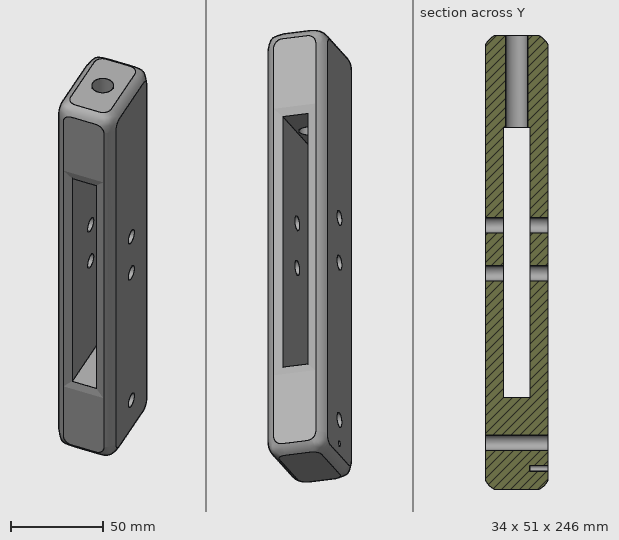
import cadquery as cq
import math

width = 34.0
depth = 51.0
height = 246.0

edge_width = 5.0
edge_inset = 2.1
corner_setback = 2 * edge_width
corner_inset = 3.0

window_length = 146.1
window_width = width - 4 * edge_width
lip_width = 4.7
lip_depth = 1.0

top_hole_diameter = 11.8
cross_hole_diameter = 8.0
cross_hole_heights = [25.3, 117.0, 143.2]
pin_hole_diameter = 3.0
pin_hole_height = 11.5
pin_hole_depth = 9.8

half_sizes = (width / 2, depth / 2, height / 2)
signs = (-1, 1)


def corner_point(corner, insets):
    """Point at the given X, Y, Z insets from a corner; `corner` holds the signs of its octant."""
    x, y, z = [sign * (half - inset) for sign, half, inset in zip(corner, half_sizes, insets)]
    return cq.Vector(x, y, z + height / 2)


def from_axis(axis, along, first, second):
    """X, Y, Z triple from a value on the axis, then on the next two axes in cyclic order."""
    triple = [0, 0, 0]
    triple[axis] = along
    triple[(axis + 1) % 3] = first
    triple[(axis + 2) % 3] = second
    return triple


def corner_arc(corner, axis, start, middle, end):
    """Arc through three points given as insets ordered from the axis."""
    points = [corner_point(corner, from_axis(axis, *p)) for p in (start, middle, end)]
    return cq.Edge.makeThreePointArc(*points)


def face_arc(corner, axis):
    """Rounded corner of the flat face perpendicular to the axis."""
    middle = corner_setback - edge_width * math.sqrt(0.5)
    ends = (edge_width, corner_setback)
    return corner_arc(corner, axis, (0, *ends), (0, middle, middle), (0, *reversed(ends)))


def edge_arc(corner, axis):
    """Cross-section of the rounded edge along the axis, where it meets the corner."""
    s = corner_setback
    return corner_arc(corner, axis, (s, 0, edge_width), (s, edge_inset, edge_inset), (s, edge_width, 0))


def corner_surface(corner):
    rim = []
    for axis in range(3):
        rim.append(edge_arc(corner, axis))
        rim.append(face_arc(corner, (axis + 2) % 3))
    middle = corner_point(corner, (corner_inset, corner_inset, corner_inset))
    return cq.Face.makeNSidedSurface(rim, [middle])


def rounded_edges(axis):
    """The four rounded edges that run along the axis."""
    faces = []
    for first in signs:
        for second in signs:
            arcs = [edge_arc(from_axis(axis, side, first, second), axis) for side in signs]
            faces.append(cq.Face.makeRuledSurface(*arcs))
    return faces


def flat_face(axis, side):
    """Flat face perpendicular to the axis, with its four corners rounded."""
    around = [(-1, -1), (1, -1), (1, 1), (-1, 1)]
    corners = [from_axis(axis, side, first, second) for first, second in around]
    boundary = [face_arc(corner, axis) for corner in corners]
    near = edge_width
    far = corner_setback
    for i, corner in enumerate(corners):
        along_first = i % 2 == 0
        insets = from_axis(axis, 0, far, near) if along_first else from_axis(axis, 0, near, far)
        next_corner = corners[(i + 1) % 4]
        boundary.append(cq.Edge.makeLine(corner_point(corner, insets), corner_point(next_corner, insets)))
    return cq.Face.makeFromWires(cq.Wire.combine(boundary)[0])


def make_block():
    """Block with rounded edges and softened corners, built from its outer faces."""
    faces = [corner_surface((x, y, z)) for x in signs for y in signs for z in signs]
    for axis in range(3):
        faces += rounded_edges(axis)
        faces += [flat_face(axis, side) for side in signs]
    return cq.Workplane(cq.Solid.makeSolid(cq.Shell.makeShell(faces)))


def cut_window(block):
    """Cut the window and slope its lips on both the -Y and +Y faces."""
    window = cq.Workplane("XY").box(window_width, depth, window_length)
    block = block.cut(window.translate((0, 0, height / 2)))
    mouth_width = window_width + 2 * lip_width
    mouth_length = window_length + 2 * lip_width
    mouth = (
        cq.Workplane("XZ", origin=(0, -depth / 2, height / 2))
        .rect(mouth_width, mouth_length)
        .workplane(offset=-lip_depth)
        .rect(window_width, window_length)
        .loft(ruled=True)
    )
    return block.cut(mouth).cut(mouth.mirror("XZ"))


def drill_holes(block):
    top_hole_depth = (height - window_length) / 2
    top_plane = cq.Workplane("XY", origin=(0, 0, height))
    top_hole = top_plane.circle(top_hole_diameter / 2).extrude(-top_hole_depth)
    block = block.cut(top_hole)

    side_plane = cq.Workplane("YZ", origin=(-width / 2, 0, 0))
    cross_holes = side_plane.pushPoints([(0, z) for z in cross_hole_heights])
    block = block.cut(cross_holes.circle(cross_hole_diameter / 2).extrude(width))

    pin_hole = side_plane.center(0, pin_hole_height).circle(pin_hole_diameter / 2).extrude(pin_hole_depth)
    return block.cut(pin_hole)


result = drill_holes(cut_window(make_block()))